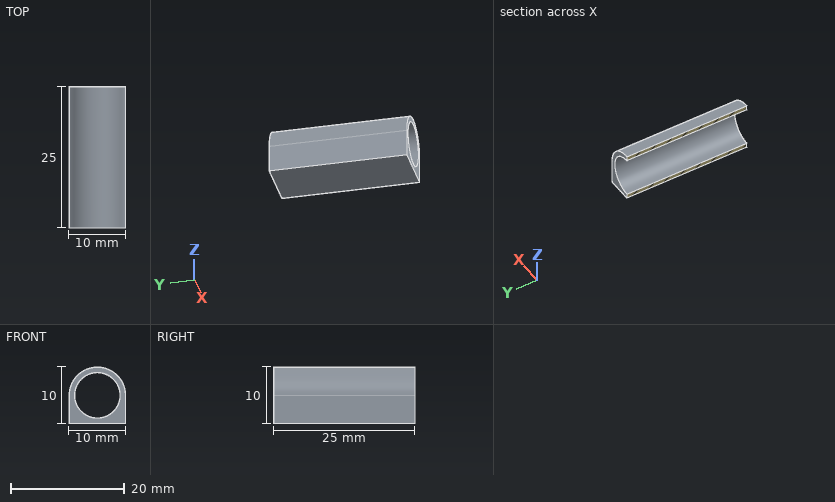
import cadquery as cq

length = 25.0
width = 10.0
bore_diameter = 8.0

outer_radius = width / 2

body = (
    cq.Workplane("XZ")
    .moveTo(-outer_radius, -outer_radius)
    .lineTo(outer_radius, -outer_radius)
    .lineTo(outer_radius, 0)
    .threePointArc((0, outer_radius), (-outer_radius, 0))
    .close()
    .extrude(length / 2, both=True)
)

bore = cq.Workplane("XZ").circle(bore_diameter / 2).extrude(length / 2, both=True)

result = body.cut(bore)